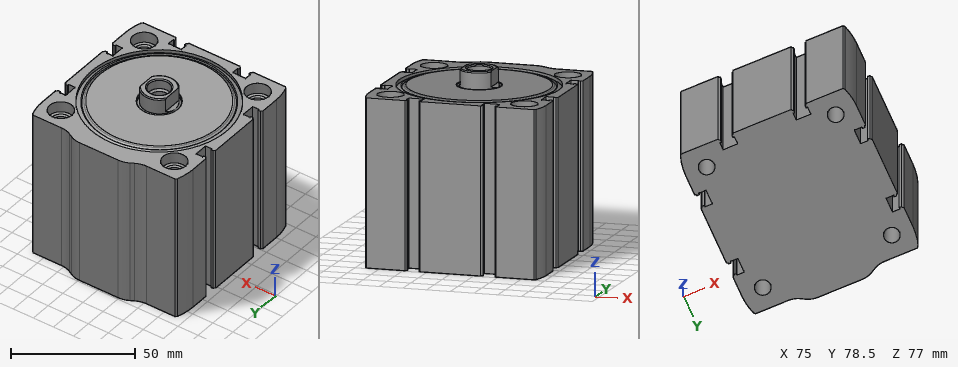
import cadquery as cq
import math

half_width = 37.48
body_height = 70.0
corner_edge_x = 35.4
bevel_end_x = 36.0
bevel_end_y = 36.8
side_flat_half = 28.3

pad_height = 3.5
pad_top_half = 9.65
blend_radius = 10.0
blend_angle = math.radians(30)

slot_offset = 16.0
slot_depth = 5.0
slot_width = 6.35
neck_width = 5.0
neck_depth = 1.8
lip_radius = 0.7

hole_offset = 28.25
hole_diameter = 6.7
counterbore_diameter = 11.0
counterbore_depth = 5.1
countersink_diameter = 8.0

groove_wall_diameter = 67.0
groove_wall_depth = 1.5
ridge_diameter = 63.0
ridge_depth = 0.4
valley_diameter = 62.2
valley_depth = 0.9
shoulder_diameter = 60.45
shoulder_depth = 0.2
cap_face_diameter = 59.0

shank_diameter = 18.1
shank_mouth_chamfer = 0.2
nose_diameter = 16.0
nose_drop = 0.4
nose_chamfer = 0.5
rod_protrusion = 7.0
rod_depth = 31.4

flat_half = 6.5
flat_base_height = 0.5
flat_runout_angle = math.radians(31)

bore_mouth_diameter = 11.0
bore_diameter = 10.05
bore_depth = 4.6
drill_diameter = 8.4
drill_depth = 15.7
drill_tip_angle = math.radians(30)

rod_top = body_height + rod_protrusion
rod_bottom = body_height - rod_depth


def revolved(profile):
    """Solid of revolution about Z from (radius, z) points."""
    return cq.Workplane("XZ").polyline(profile).close().revolve(360, (0, 0, 0), (0, 1, 0))


def block():
    """Extruded housing section: its +X half and the mirror image."""
    corner_dx = half_width - bevel_end_x
    corner_dy = bevel_end_y - side_flat_half
    corner_radius = (corner_dx**2 + corner_dy**2) / (2 * corner_dx)

    arc_run = blend_radius * math.sin(blend_angle)
    arc_rise = blend_radius * (1 - math.cos(blend_angle))
    mid_run = blend_radius * math.sin(blend_angle / 2)
    mid_rise = blend_radius * (1 - math.cos(blend_angle / 2))
    ramp_run = (pad_height - 2 * arc_rise) / math.tan(blend_angle)
    pad_top = half_width + pad_height
    pad_foot = pad_top_half + 2 * arc_run + ramp_run

    half = (
        cq.Workplane("XY")
        .moveTo(0, -half_width)
        .lineTo(corner_edge_x, -half_width)
        .lineTo(bevel_end_x, -bevel_end_y)
        .radiusArc((half_width, -side_flat_half), -corner_radius)
        .lineTo(half_width, side_flat_half)
        .radiusArc((bevel_end_x, bevel_end_y), -corner_radius)
        .lineTo(corner_edge_x, half_width)
        .lineTo(pad_foot, half_width)
        .threePointArc(
            (pad_foot - mid_run, half_width + mid_rise),
            (pad_foot - arc_run, half_width + arc_rise),
        )
        .lineTo(pad_top_half + arc_run, pad_top - arc_rise)
        .threePointArc((pad_top_half + mid_run, pad_top - mid_rise), (pad_top_half, pad_top))
        .lineTo(0, pad_top)
        .close()
        .extrude(body_height)
    )
    return half.union(half.mirror("YZ"))


def t_slot():
    """T-slot cutter that opens toward -Y at y = 0, with rounded lips."""
    neck = neck_width / 2
    inner = slot_width / 2
    mouth = neck + lip_radius
    return (
        cq.Workplane("XY")
        .moveTo(-mouth, 0)
        .radiusArc((-neck, lip_radius), lip_radius)
        .lineTo(-neck, neck_depth)
        .lineTo(-inner, neck_depth)
        .lineTo(-inner, slot_depth)
        .lineTo(inner, slot_depth)
        .lineTo(inner, neck_depth)
        .lineTo(neck, neck_depth)
        .lineTo(neck, lip_radius)
        .radiusArc((mouth, 0), lip_radius)
        .close()
        .extrude(body_height)
    )


def screw_hole():
    """Counterbored through hole whose inner edge is countersunk at 45 degrees."""
    hole = hole_diameter / 2
    sink = countersink_diameter / 2
    bore = counterbore_diameter / 2
    floor = body_height - counterbore_depth
    return revolved([
        (0, 0),
        (hole, 0),
        (hole, floor - (sink - hole)),
        (sink, floor),
        (bore, floor),
        (bore, body_height),
        (0, body_height),
    ])


def ring_groove():
    """Groove with a straight outer wall, a ridge and a valley, fading out at the cap face."""
    return revolved([
        (cap_face_diameter / 2, body_height),
        (groove_wall_diameter / 2, body_height),
        (groove_wall_diameter / 2, body_height - groove_wall_depth),
        (ridge_diameter / 2, body_height - ridge_depth),
        (valley_diameter / 2, body_height - valley_depth),
        (shoulder_diameter / 2, body_height - shoulder_depth),
    ])


def rod_hole():
    """Blind hole for the rod shank with a small chamfer at its mouth."""
    shank = shank_diameter / 2
    return revolved([
        (0, rod_bottom),
        (shank, rod_bottom),
        (shank, body_height - shank_mouth_chamfer),
        (shank + shank_mouth_chamfer, body_height),
        (0, body_height),
    ])


def build_housing():
    body = block()
    for side_angle in (0, 90, -90):
        for offset in (-slot_offset, slot_offset):
            slot = t_slot().translate((offset, -half_width, 0))
            body = body.cut(slot.rotate((0, 0, 0), (0, 0, 1), side_angle))
    for x in (-hole_offset, hole_offset):
        for y in (-hole_offset, hole_offset):
            body = body.cut(screw_hole().translate((x, y, 0)))
    return body.cut(ring_groove()).cut(rod_hole())


def rod_blank():
    """Turned rod: shank, 45 degree shoulder, chamfered nose and stepped bore."""
    shank = shank_diameter / 2
    nose = nose_diameter / 2
    mouth = bore_mouth_diameter / 2
    bore = bore_diameter / 2
    drill = drill_diameter / 2
    nose_base = body_height - nose_drop
    bore_floor = rod_top - bore_depth
    drill_floor = rod_top - drill_depth
    return revolved([
        (0, rod_bottom),
        (shank, rod_bottom),
        (shank, nose_base - (shank - nose)),
        (nose, nose_base),
        (nose, rod_top - nose_chamfer),
        (nose - nose_chamfer, rod_top),
        (mouth, rod_top),
        (bore, rod_top - (mouth - bore)),
        (bore, bore_floor),
        (drill, bore_floor - (bore - drill)),
        (drill, drill_floor),
        (0, drill_floor - drill * math.tan(drill_tip_angle)),
    ])


def flat_cutter():
    """Cutter for the +X wrench flat, with a sloped lower end running out of the rod."""
    reach = shank_diameter / 2
    flat_base = body_height + flat_base_height
    runout_base = flat_base - (reach - flat_half) * math.tan(flat_runout_angle)
    return (
        cq.Workplane("XZ")
        .moveTo(flat_half, rod_top)
        .lineTo(flat_half, flat_base)
        .lineTo(reach, runout_base)
        .lineTo(reach, rod_top)
        .close()
        .extrude(nose_diameter / 2, both=True)
    )


def build_rod():
    flat = flat_cutter()
    return rod_blank().cut(flat).cut(flat.mirror("YZ"))


housing = build_housing()
piston_rod = build_rod()

result = cq.Compound.makeCompound([housing.val(), piston_rod.val()])